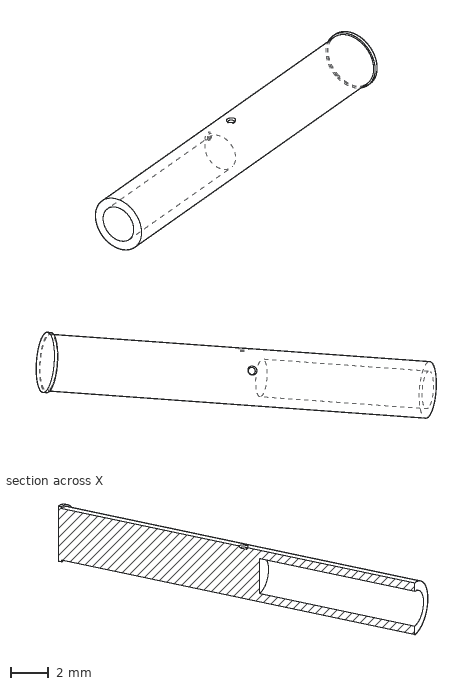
import cadquery as cq

length = 21.2
body_diameter = 3.0
flange_diameter = 3.2
flange_thickness = 0.2
bore_diameter = 2.0
bore_depth = 9.22

dimple_diameter = 0.5
dimple_floor_diameter = 0.38
dimple_depth = 0.1
dimple_from_front = 10.2

front = -length / 2
body_radius = body_diameter / 2
dimple_y = front + dimple_from_front


def rod(diameter, start_y, rod_length):
    """Solid cylinder on the Y axis, running from start_y toward +Y."""
    return cq.Workplane(
        cq.Solid.makeCylinder(diameter / 2, rod_length, cq.Vector(0, start_y, 0), cq.Vector(0, 1, 0))
    )


def dimple(outward):
    """Tapered cutter sunk into the body along the given outward direction."""
    floor = cq.Vector(0, dimple_y, 0) + outward * (body_radius - dimple_depth)
    return cq.Workplane(
        cq.Solid.makeCone(dimple_floor_diameter / 2, dimple_diameter / 2, dimple_depth, floor, outward)
    )


body = rod(body_diameter, front, length)
flange = rod(flange_diameter, front + length - flange_thickness, flange_thickness)
bore = rod(bore_diameter, front, bore_depth)

result = body.union(flange).cut(bore)
for outward in (cq.Vector(0, 0, 1), cq.Vector(-1, 0, 0)):
    result = result.cut(dimple(outward))